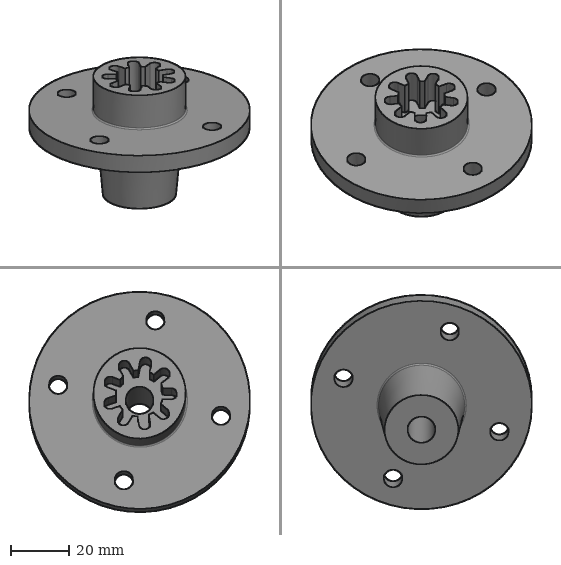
import cadquery as cq
import math

flange_diameter = 76.2
flange_thickness = 6.3
bolt_count = 4
bolt_hole_diameter = 6.3
bolt_circle_diameter = 57.15

hub_diameter = 31.8
hub_height = 12.7
spigot_length = 25.4
spigot_end_diameter = 25.4
spigot_draft_angle = 5.0
base_fillet = 0.51

bore_diameter = 9.5
spline_count = 9
spline_root_radius = 8.15
spline_tip_radius = 12.8
spline_width = 4.0
spline_depth = hub_height

hub_top = flange_thickness + hub_height
hub_radius = hub_diameter / 2
spigot_end_radius = spigot_end_diameter / 2
spigot_base_radius = spigot_end_radius + spigot_length * math.tan(math.radians(spigot_draft_angle))


def make_body():
    """Revolve the flange, hub and spigot, then fillet both flange joints."""
    flange_radius = flange_diameter / 2
    profile = (
        cq.Workplane("XZ")
        .moveTo(0, -spigot_length)
        .lineTo(spigot_end_radius, -spigot_length)
        .lineTo(spigot_base_radius, 0)
        .lineTo(flange_radius, 0)
        .lineTo(flange_radius, flange_thickness)
        .lineTo(hub_radius, flange_thickness)
        .lineTo(hub_radius, hub_top)
        .lineTo(0, hub_top)
        .close()
    )
    body = profile.revolve(360, (0, 0, 0), (0, 1, 0))
    for joint_radius, joint_height in ((hub_radius, flange_thickness), (spigot_base_radius, 0)):
        edges = [
            edge
            for edge in body.edges("%CIRCLE").vals()
            if math.isclose(edge.radius(), joint_radius, abs_tol=0.0001)
            and math.isclose(edge.Center().z, joint_height, abs_tol=0.0001)
        ]
        body = body.newObject(edges).fillet(base_fillet)
    return body


def make_spline_socket():
    """Round core with equally spaced round-ended grooves, the first along +Y."""
    floor = cq.Workplane("XY").workplane(offset=hub_top - spline_depth)
    socket = floor.circle(spline_root_radius).extrude(spline_depth)
    groove = (
        floor.center(0, spline_tip_radius / 2)
        .slot2D(spline_tip_radius, spline_width, 90)
        .extrude(spline_depth)
    )
    for index in range(spline_count):
        socket = socket.union(groove.rotate((0, 0, 0), (0, 0, 1), index * 360 / spline_count))
    return socket


def make_through_holes():
    """Central bore and the flange bolt holes."""
    bore = cq.Workplane("XY").workplane(offset=-spigot_length).circle(bore_diameter / 2)
    bolt_holes = (
        cq.Workplane("XY")
        .polarArray(bolt_circle_diameter / 2, 0, 360, bolt_count)
        .circle(bolt_hole_diameter / 2)
        .extrude(flange_thickness)
    )
    return bore.extrude(spigot_length + hub_top).union(bolt_holes)


result = make_body().cut(make_spline_socket()).cut(make_through_holes())